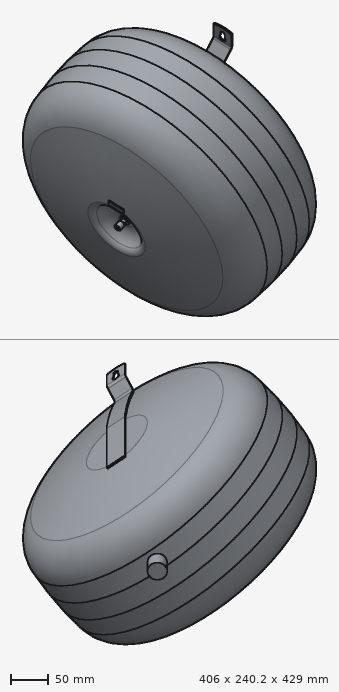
import cadquery as cq
import math

max_radius = 203.0
band_end_radius = 200.8
centre_band_half = 16.5
band_half = 47.0
dome_radius = 549.0
dome_edge_radius = 162.5
dome_edge_y = 96.0

rear_flat_radius = 51.5
lip_outer_radius = 48.5
lip_inner_radius = 38.0
lip_inner_drop = 6.0
floor_radius = 13.0
floor_y = -98.2

pipe_radius = 13.5
pipe_y = 27.5
pipe_end_z = -226.0
pipe_blank_length = 34.5

bracket_width = 30.5
bracket_thickness = 2.5
strip_bottom_z = -56.5
strip_top_z = 151.5
tab_bottom_z = 168.0
tab_top_z = 201.0
bend_offset = 1.0
bend_inner_radius = 5.0
bend_outer_radius = bend_inner_radius + bracket_thickness
tab_arch_rise = 2.5
keyhole_z = 177.5
keyhole_radius = 5.5
keyhole_slot_width = 7.7
keyhole_top_z = 188.8

plate_width = 25.7
plate_bottom_z = 45.0
plate_top_z = 55.5
plate_front_y = -119.5
plate_depth = 4.5

nut_across_flats = 14.0
nut_corner_radius = 7.7
nut_height = 2.5
stem_radius = 4.0
stem_length = 8.0
stem_end_radius = 5.0
stem_end_length = 10.0
valve_bore_radius = 2.0
valve_bore_depth = 4.5

dome_centre_y = dome_edge_y - math.sqrt(dome_radius**2 - dome_edge_radius**2)


def dome_y(radius, offset=0.0):
    """Distance of the crown, grown by offset, from the tank's mid-plane at a radius from the axis."""
    return dome_centre_y + math.sqrt((dome_radius + offset) ** 2 - radius**2)


rear_flat_y = dome_y(rear_flat_radius)


def revolve_about_y(profile):
    """Closes a profile drawn in the XY plane and turns it about the tank axis."""
    return profile.close().revolve(360, (0, 0, 0), (0, 1, 0))


def shoulder_middle():
    """Point halfway along the shoulder arc, which leaves the crown tangentially."""
    chord_r = band_end_radius - dome_edge_radius
    chord_y = dome_edge_y - band_half
    chord = math.hypot(chord_r, chord_y)
    crown_slope = math.asin(dome_edge_radius / dome_radius)
    half_sweep = math.atan2(chord_y, chord_r) - crown_slope
    bulge = chord / 2 * math.tan(half_sweep / 2)
    middle_r = (dome_edge_radius + band_end_radius) / 2 + bulge * chord_y / chord
    middle_y = (dome_edge_y + band_half) / 2 + bulge * chord_r / chord
    return middle_r, middle_y


def make_band(start_y, end_y, start_radius, end_radius):
    """Solid disc between two Y positions with a straight-sided, possibly tapered rim."""
    return revolve_about_y(
        cq.Workplane("XY")
        .moveTo(0, start_y)
        .lineTo(start_radius, start_y)
        .lineTo(end_radius, end_y)
        .lineTo(0, end_y)
    )


def make_rear_head():
    """Head with a rounded shoulder and a spherical crown cut flat at its middle."""
    crown_middle = (rear_flat_radius + dome_edge_radius) / 2
    return revolve_about_y(
        cq.Workplane("XY")
        .moveTo(0, band_half)
        .lineTo(band_end_radius, band_half)
        .threePointArc(shoulder_middle(), (dome_edge_radius, dome_edge_y))
        .threePointArc((crown_middle, dome_y(crown_middle)), (rear_flat_radius, rear_flat_y))
        .lineTo(0, rear_flat_y)
    )


def make_front_head():
    """Head like the rear one, with a rounded lip and a dished recess in the middle of its crown."""
    shoulder_r, shoulder_y = shoulder_middle()
    crown_middle = (lip_outer_radius + dome_edge_radius) / 2
    lip_y = -dome_y(lip_outer_radius)
    return revolve_about_y(
        cq.Workplane("XY")
        .moveTo(0, -band_half)
        .lineTo(band_end_radius, -band_half)
        .threePointArc((shoulder_r, -shoulder_y), (dome_edge_radius, -dome_edge_y))
        .threePointArc((crown_middle, -dome_y(crown_middle)), (lip_outer_radius, lip_y))
        .tangentArcPoint((lip_inner_radius, lip_y + lip_inner_drop), relative=False)
        .tangentArcPoint((floor_radius, floor_y), relative=False)
        .lineTo(0, floor_y)
    )


def make_pipe(side_band, centre_band):
    """Pipe rising from its lower end until it meets the outside of the bands."""
    start = cq.Workplane("XY", origin=(0, pipe_y, pipe_end_z))
    pipe = start.circle(pipe_radius).extrude(pipe_blank_length)
    return pipe.cut(side_band).cut(centre_band)


def make_bracket():
    """Bent strip that bridges the rear flat, follows the crown and ends in an upright tab."""
    strip_inner_y = rear_flat_y
    strip_outer_y = strip_inner_y + bracket_thickness
    arc_middle_z = (rear_flat_radius + strip_top_z) / 2
    bracket = (
        cq.Workplane("YZ")
        .moveTo(strip_inner_y, strip_bottom_z)
        .lineTo(strip_inner_y, rear_flat_radius)
        .threePointArc((dome_y(arc_middle_z), arc_middle_z), (dome_y(strip_top_z), strip_top_z))
        .lineTo(strip_inner_y, tab_bottom_z)
        .lineTo(strip_inner_y, tab_top_z)
        .lineTo(strip_outer_y, tab_top_z)
        .lineTo(strip_outer_y, tab_bottom_z - bend_offset)
        .lineTo(dome_y(strip_top_z - bend_offset, bracket_thickness), strip_top_z - bend_offset)
        .threePointArc(
            (dome_y(arc_middle_z, bracket_thickness), arc_middle_z),
            (dome_y(rear_flat_radius, bracket_thickness), rear_flat_radius),
        )
        .lineTo(strip_outer_y, strip_bottom_z)
        .close()
        .extrude(bracket_width / 2, both=True)
    )
    bracket = round_bend(bracket, tab_bottom_z, strip_inner_y, bend_inner_radius)
    bracket = round_bend(bracket, tab_bottom_z - bend_offset, strip_outer_y, bend_outer_radius)
    bracket = round_bend(bracket, strip_top_z, dome_y(strip_top_z), bend_outer_radius)
    lower_bend_z = strip_top_z - bend_offset
    bracket = round_bend(bracket, lower_bend_z, dome_y(lower_bend_z, bracket_thickness), bend_inner_radius)
    return bracket.intersect(tab_outline()).cut(keyhole())


def round_bend(bracket, z, y, radius):
    """Rounds the bracket edge along X that passes through the given Y and Z."""
    return bracket.edges(cq.selectors.NearestToPointSelector((0, y, z))).fillet(radius)


def tab_outline():
    """Block as wide as the bracket whose arched top shapes the end of the tab."""
    half_width = bracket_width / 2
    return (
        cq.Workplane("XZ")
        .moveTo(-half_width, strip_bottom_z)
        .lineTo(half_width, strip_bottom_z)
        .lineTo(half_width, tab_top_z - tab_arch_rise)
        .threePointArc((0, tab_top_z), (-half_width, tab_top_z - tab_arch_rise))
        .close()
        .extrude(-max_radius)
    )


def keyhole():
    """Round hole with a narrower round-ended slot rising from it, through the tab."""
    slot_centre_z = (keyhole_z + keyhole_top_z) / 2
    slot_length = keyhole_top_z - keyhole_z + keyhole_slot_width
    hole = cq.Workplane("XZ").center(0, keyhole_z).circle(keyhole_radius)
    slot = cq.Workplane("XZ").center(0, slot_centre_z).slot2D(slot_length, keyhole_slot_width, 90)
    return hole.extrude(-max_radius).union(slot.extrude(-max_radius))


def make_name_plate(front_head):
    """Plate standing proud of the crown; its back follows the head."""
    plate_height = plate_top_z - plate_bottom_z
    plate_middle_z = (plate_top_z + plate_bottom_z) / 2
    plate = (
        cq.Workplane("XZ", origin=(0, plate_front_y, plate_middle_z))
        .rect(plate_width, plate_height)
        .extrude(-plate_depth)
    )
    return plate.cut(front_head)


def valve_start(height):
    """Work plane facing out of the recess, at a height above its floor."""
    return cq.Workplane("XZ", origin=(0, floor_y - height, 0))


def make_valve_nut():
    """Hexagon with its corners trimmed round, bored for the stem, with flats facing +X and -X."""
    across_corners = nut_across_flats / math.cos(math.pi / 6)
    hexagon = valve_start(0).transformed(rotate=(0, 0, 30)).polygon(6, across_corners).extrude(nut_height)
    trimmed_ring = valve_start(0).circle(nut_corner_radius).circle(stem_radius).extrude(nut_height)
    return hexagon.intersect(trimmed_ring)


def make_valve_stem():
    """Round stem standing on the recess floor, with a thicker outer end that has a blind bore."""
    stem = valve_start(0).circle(stem_radius).extrude(stem_length)
    stem_end = valve_start(stem_length).circle(stem_end_radius).extrude(stem_end_length)
    bore_mouth = valve_start(stem_length + stem_end_length)
    bore = bore_mouth.circle(valve_bore_radius).extrude(-valve_bore_depth)
    return stem.union(stem_end).cut(bore)


front_head = make_front_head()
rear_head = make_rear_head()
front_band = make_band(-band_half, -centre_band_half, band_end_radius, max_radius)
centre_band = make_band(-centre_band_half, centre_band_half, max_radius, max_radius)
rear_band = make_band(centre_band_half, band_half, max_radius, band_end_radius)
pipe = make_pipe(rear_band, centre_band)
bracket = make_bracket()
name_plate = make_name_plate(front_head)
valve_nut = make_valve_nut()
valve_stem = make_valve_stem()

result = cq.Compound.makeCompound(
    [
        front_head.val(),
        rear_head.val(),
        front_band.val(),
        centre_band.val(),
        rear_band.val(),
        pipe.val(),
        bracket.val(),
        name_plate.val(),
        valve_nut.val(),
        valve_stem.val(),
    ]
)